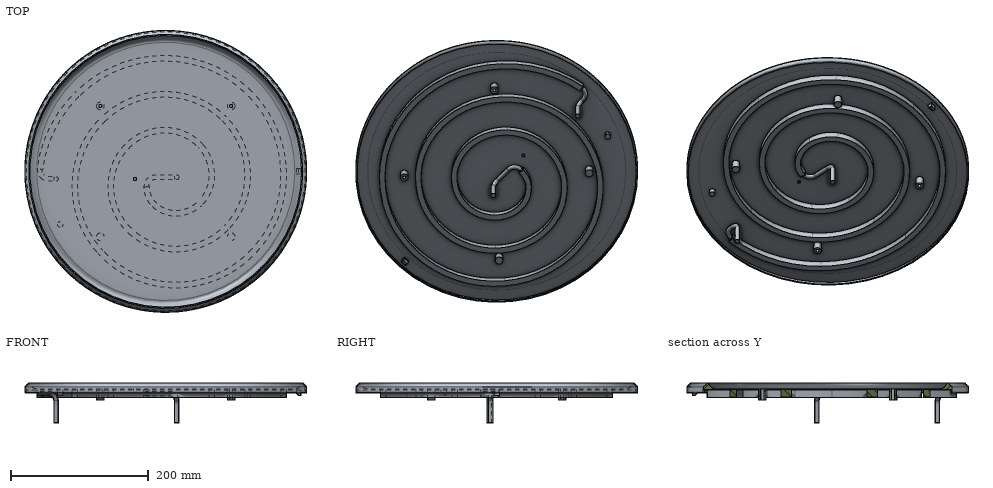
import cadquery as cq
import math

total_height = 58.0
pan_radius = 204.5
pan_height = 14.7
rim_chamfer = 5.7
wall_rounding = 1.2
floor_top = 6.0
floor_radius = 187.0
floor_thickness = 1.5
skirt_thickness = 2.0
cove_radius = 10.0
floor_underside = floor_top - floor_thickness

stud_diameter = 11.0
stud_bottom = -10.2
stud_offset = 95.0
stud_places = [(x * stud_offset, y * stud_offset) for x in (-1, 1) for y in (-1, 1)]

hole_diameter = 4.5
hole_roof = 0.5
floor_hole_place = (-44.5, -11.0)
hole_places = [(-stud_offset, stud_offset), (stud_offset, stud_offset), floor_hole_place]

pad_diameter = 8.0
pad_bottom = -3.0
pad_place = (-153.0, -77.0)
tab_bottom = -3.5
tab_inner = 189.5
tab_outer = 195.7
tab_slope = 3.0
tab_width = 8.0

coil_center = (6.5, -13.5)
coil_width = 8.0
coil_bottom = -6.5
coil_pitch = 52.5
coil_outer_radius = 190.5
coil_start_turn = 0.014
coil_end_turn = 2.96
coil_arcs = 24
coil_height = floor_underside - coil_bottom

tube_diameter = 6.5
tube_bottom = pan_height - total_height
tube_level = (floor_underside + coil_bottom) / 2
side_bend = 12.5
down_bend = 10.2
lead_in = 4.0
outer_terminal = (-159.0, -11.0)
inner_terminal = (16.0, -8.5)


def peg(place, diameter, bottom, top):
    """Upright cylinder between two heights."""
    return cq.Workplane("XY", origin=(*place, bottom)).circle(diameter / 2).extrude(top - bottom)


def make_dish():
    """Revolved dish whose floor rises through a concave cove to a narrow land on the rim."""
    skirt_inner = pan_radius - skirt_thickness
    cove_center_z = floor_top + cove_radius
    cove_end_angle = math.acos((cove_center_z - pan_height) / cove_radius)

    def cove_point(angle):
        return (
            floor_radius + cove_radius * math.sin(angle),
            cove_center_z - cove_radius * math.cos(angle),
        )

    dish = (
        cq.Workplane("XZ")
        .moveTo(0, floor_underside)
        .lineTo(skirt_inner, floor_underside)
        .lineTo(skirt_inner, 0)
        .lineTo(pan_radius, 0)
        .lineTo(pan_radius, pan_height - rim_chamfer)
        .lineTo(pan_radius - rim_chamfer, pan_height)
        .lineTo(*cove_point(cove_end_angle))
        .threePointArc(cove_point(cove_end_angle / 2), (floor_radius, floor_top))
        .lineTo(0, floor_top)
        .close()
        .revolve(360, (0, 0), (0, 1))
    )
    return dish.edges(cq.selectors.RadiusNthSelector(-1)).fillet(wall_rounding)


def make_tab():
    return (
        cq.Workplane("XZ")
        .moveTo(tab_inner, floor_underside)
        .lineTo(tab_inner, tab_bottom + tab_slope)
        .lineTo(tab_inner + tab_slope, tab_bottom)
        .lineTo(tab_outer, tab_bottom)
        .lineTo(tab_outer, floor_underside)
        .close()
        .extrude(tab_width / 2, both=True)
    )


def make_pan():
    pan = make_dish().union(make_tab())
    pan = pan.union(peg(pad_place, pad_diameter, pad_bottom, floor_underside))
    for place in stud_places:
        pan = pan.union(peg(place, stud_diameter, stud_bottom, floor_underside))
    for place in hole_places:
        pan = pan.cut(peg(place, hole_diameter, stud_bottom, floor_top - hole_roof))
    return pan


def spiral_point(turn, offset):
    """Point on the spiral after a number of turns, moved outwards from the band's middle line."""
    radius = coil_outer_radius - coil_pitch * turn + offset
    angle = math.pi - 2 * math.pi * turn
    return (coil_center[0] + radius * math.cos(angle), coil_center[1] + radius * math.sin(angle))


def make_band():
    """Band between an outer and an inner spiral, each a chain of short arcs."""
    half_step = (coil_end_turn - coil_start_turn) / (2 * coil_arcs)
    turns = [coil_start_turn + i * half_step for i in range(2 * coil_arcs + 1)]
    outer_edge = [spiral_point(turn, coil_width / 2) for turn in turns]
    inner_edge = [spiral_point(turn, -coil_width / 2) for turn in reversed(turns)]
    band = cq.Workplane("XY", origin=(0, 0, coil_bottom)).moveTo(*outer_edge[0])
    for i in range(coil_arcs):
        band = band.threePointArc(outer_edge[2 * i + 1], outer_edge[2 * i + 2])
    band = band.lineTo(*inner_edge[0])
    for i in range(coil_arcs):
        band = band.threePointArc(inner_edge[2 * i + 1], inner_edge[2 * i + 2])
    return band.close().extrude(coil_height)


def make_terminal(terminal, turn, heading):
    """Tube that leaves the band along Y (heading 1 or -1), turns to +X and then bends down."""
    x, y = terminal
    forward = math.sqrt(0.5)
    sideways = 1 - forward
    band_x = spiral_point(turn, 0)[0]
    bend_y = y - heading * side_bend
    start = cq.Vector(band_x, bend_y - heading * lead_in, tube_level)
    side_start = cq.Vector(band_x, bend_y, tube_level)
    side_middle = cq.Vector(
        band_x + side_bend * sideways, bend_y + heading * side_bend * forward, tube_level
    )
    side_end = cq.Vector(band_x + side_bend, y, tube_level)
    down_start = cq.Vector(x - down_bend, y, tube_level)
    down_middle = cq.Vector(x - down_bend * sideways, y, tube_level - down_bend * sideways)
    down_end = cq.Vector(x, y, tube_level - down_bend)
    tip = cq.Vector(x, y, tube_bottom)
    path = cq.Wire.assembleEdges(
        [
            cq.Edge.makeLine(start, side_start),
            cq.Edge.makeThreePointArc(side_start, side_middle, side_end),
            cq.Edge.makeLine(side_end, down_start),
            cq.Edge.makeThreePointArc(down_start, down_middle, down_end),
            cq.Edge.makeLine(down_end, tip),
        ]
    )
    section = cq.Workplane("XZ", origin=start.toTuple()).circle(tube_diameter / 2)
    return section.sweep(path)


def make_coil():
    outer_tube = make_terminal(outer_terminal, coil_start_turn, -1)
    inner_tube = make_terminal(inner_terminal, coil_end_turn, 1)
    return make_band().union(outer_tube).union(inner_tube)


pan = make_pan()
coil = make_coil()
result = cq.Compound.makeCompound([pan.val(), coil.val()])